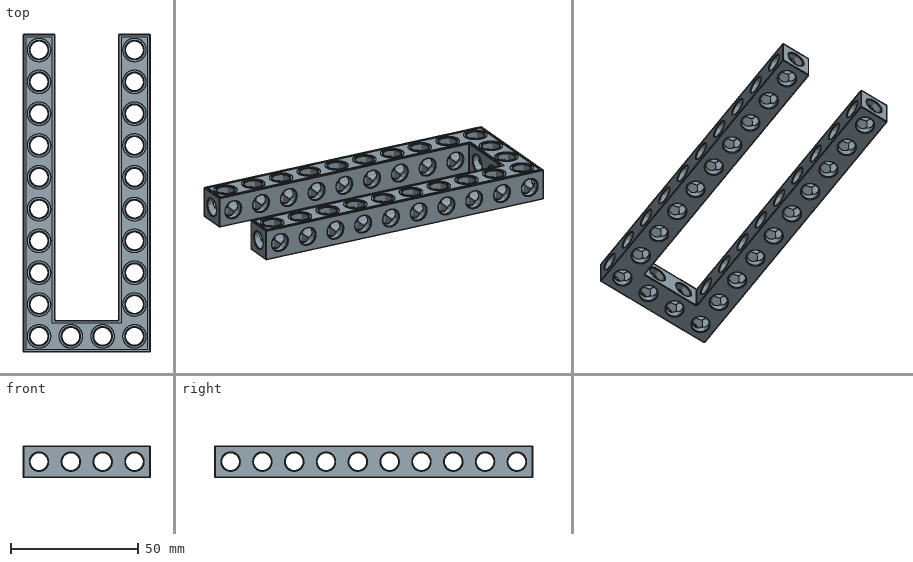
import cadquery as cq

PITCH = 12.5
COLUMNS = 4
ROWS = 10
WIDTH = COLUMNS * PITCH
LENGTH = ROWS * PITCH
HEIGHT = PITCH
EDGE_CHAMFER = 0.2

HOLE_DIAMETER = 7.0
HOLE_CHAMFER = 0.31

BORDER = 1.06
RIM_DIAMETER = 9.2
PANEL_DEPTH = 0.1

COLUMN_X = [(i + 0.5) * PITCH - WIDTH / 2 for i in range(COLUMNS)]
ROW_Y = [(j + 0.5) * PITCH - LENGTH / 2 for j in range(ROWS)]
LEG_X = [COLUMN_X[0], COLUMN_X[-1]]
WEB_X = COLUMN_X[1:-1]
WEB_Y = ROW_Y[0]
CELLS = [(x, y) for x in LEG_X for y in ROW_Y] + [(x, WEB_Y) for x in WEB_X]


def u_prism(inset, bottom, height):
    """U-shaped prism with every wall moved into the bars by inset."""
    outer_x = WIDTH / 2 - inset
    inner_x = WIDTH / 2 - PITCH + inset
    near_y = -LENGTH / 2 + inset
    far_y = LENGTH / 2 - inset
    web_y = -LENGTH / 2 + PITCH - inset
    outline = [
        (-outer_x, near_y), (outer_x, near_y), (outer_x, far_y), (inner_x, far_y),
        (inner_x, web_y), (-inner_x, web_y), (-inner_x, far_y), (-outer_x, far_y),
    ]
    return cq.Workplane("XY").workplane(offset=bottom).polyline(outline).close().extrude(height)


def sunken_panel():
    """Cutter for the shallow top recess, with a ring spared around each vertical hole."""
    floor = HEIGHT / 2 - PANEL_DEPTH
    rims = cq.Workplane("XY").workplane(offset=floor).pushPoints(CELLS)
    return u_prism(BORDER, floor, PANEL_DEPTH).cut(rims.circle(RIM_DIAMETER / 2).extrude(PANEL_DEPTH))


def drill(length):
    """Cutter along Z, centred on the origin: a bore with a countersink at both ends."""
    bore = HOLE_DIAMETER / 2
    mouth = bore + HOLE_CHAMFER
    end = length / 2
    shoulder = end - HOLE_CHAMFER
    profile = [(0, -end), (mouth, -end), (bore, -shoulder), (bore, shoulder), (mouth, end), (0, end)]
    return cq.Workplane("XZ").polyline(profile).close().revolve(360, (0, 0), (0, 1))


def drill_x(length):
    return drill(length).rotate((0, 0, 0), (0, 1, 0), 90)


def drill_y(length):
    return drill(length).rotate((0, 0, 0), (1, 0, 0), 90)


def bores():
    """All hole cutters: one family along each axis."""
    along_z = [drill(HEIGHT).translate((x, y, 0)) for x, y in CELLS]
    along_y = [drill_y(LENGTH).translate((x, 0, 0)) for x in LEG_X]
    along_y += [drill_y(PITCH).translate((x, WEB_Y, 0)) for x in WEB_X]
    along_x = [drill_x(WIDTH).translate((0, WEB_Y, 0))]
    along_x += [drill_x(PITCH).translate((x, y, 0)) for x in LEG_X for y in ROW_Y if y != WEB_Y]
    return along_x + along_y + along_z


result = u_prism(0, -HEIGHT / 2, HEIGHT).edges().chamfer(EDGE_CHAMFER)
result = result.cut(sunken_panel())
for bore_cutter in bores():
    result = result.cut(bore_cutter)